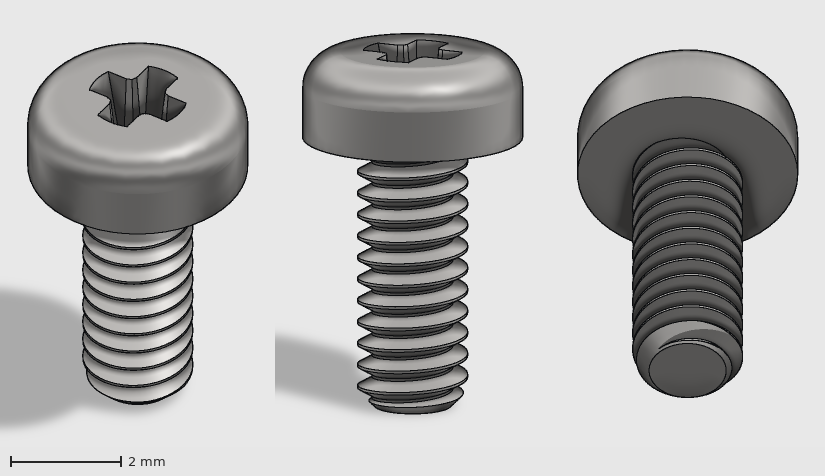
import cadquery as cq
import math

head_diameter = 4.0
head_height = 1.6
head_edge_radius = 0.68

shank_length = 5.0
thread_radius = 2.0 / 2
root_radius = 1.48 / 2
pitch = 0.4
thread_flat = pitch / 8
thread_start_angle = 90
spare_below_tip = 1.5
spare_above_seat = 2
tip_chamfer = 0.3
shank_embed = 0.1
envelope_clearance = 0.2

recess_depth = 1.35
recess_top_radius = 0.9
recess_floor_radius = 0.54
arm_top_width = 0.63
arm_floor_width = 0.38
corner_setback = 0.138
facet_angle = math.radians(22.5)


def make_head():
    """Cylindrical head with a generously rounded top edge."""
    head = cq.Workplane("XY").circle(head_diameter / 2).extrude(head_height)
    return head.faces(">Z").edges().fillet(head_edge_radius)


def helix_turn(radius, height):
    """One right-handed turn that starts on the XZ plane at the given radius and height."""
    return cq.Wire.makeHelix(pitch, pitch, radius, cq.Vector(0, 0, height)).Edges()[0]


def thread_profile(height):
    """Radius and height of the corners of one pitch, from one root flat up to the next."""
    flank_height = (pitch - 2 * thread_flat) / 2
    crest_start = height + thread_flat + flank_height
    return [
        (root_radius, height),
        (root_radius, height + thread_flat),
        (thread_radius, crest_start),
        (thread_radius, crest_start + thread_flat),
        (root_radius, height + pitch),
    ]


def thread_turn_faces(height):
    """Root, lower flank, crest and upper flank of one turn."""
    profile = thread_profile(height)
    edges = [helix_turn(radius, z) for radius, z in profile]
    return [cq.Face.makeRuledSurface(low, high) for low, high in zip(edges, edges[1:])]


def rod_end_faces(height):
    """Close one end of the rod: a spiral ramp and the flat step that joins its two ends."""
    axis_start = cq.Vector(0, 0, height)
    axis_end = cq.Vector(0, 0, height + pitch)
    axis = cq.Edge.makeLine(axis_start, axis_end)
    ramp = cq.Face.makeRuledSurface(helix_turn(root_radius, height), axis)
    corners = [cq.Vector(radius, 0, z) for radius, z in thread_profile(height)]
    step = cq.Face.makeFromWires(cq.Wire.makePolygon([axis_start, *corners, axis_end], close=True))
    return [ramp, step]


def make_thread_rod():
    """Threaded rod, longer than the shank at both ends, built from its helical faces."""
    turns = math.ceil(shank_length / pitch + spare_below_tip + spare_above_seat)
    bottom = -shank_length - spare_below_tip * pitch
    faces = rod_end_faces(bottom) + rod_end_faces(bottom + turns * pitch)
    for turn in range(turns):
        faces += thread_turn_faces(bottom + turn * pitch)
    rod = cq.Solid.makeSolid(cq.Shell.makeShell(faces))
    return cq.Workplane(obj=rod).rotate((0, 0, 0), (0, 0, 1), thread_start_angle)


def make_tip_envelope():
    """Space left by the tip chamfer: a cone opening upwards into a wider cylinder."""
    tip_radius = thread_radius - tip_chamfer
    outer_radius = thread_radius + envelope_clearance
    cone_top = -shank_length + outer_radius - tip_radius
    return (
        cq.Workplane("XZ")
        .moveTo(0, -shank_length)
        .lineTo(tip_radius, -shank_length)
        .lineTo(outer_radius, cone_top)
        .lineTo(outer_radius, shank_embed)
        .lineTo(0, shank_embed)
        .close()
        .revolve(360, (0, 0, 0), (0, 1, 0))
    )


def make_threaded_shank():
    """Threaded rod with its tip chamfered; the top reaches a little into the head."""
    return make_thread_rod().intersect(make_tip_envelope())


def cross_outline(half_width, facet_start):
    """Cross whose inner corners are broken by two facets; its arms overreach the recess."""
    arm_reach = head_diameter / 2
    slope = math.tan(facet_angle)
    facet_meeting = (half_width + facet_start * slope) / (1 + slope)
    quadrant = [
        (arm_reach, half_width),
        (facet_start, half_width),
        (facet_meeting, facet_meeting),
        (half_width, facet_start),
        (half_width, arm_reach),
    ]
    outline = []
    for _ in range(4):
        outline += quadrant
        quadrant = [(-y, x) for x, y in quadrant]
    return outline


def make_tapered_cross():
    """Cross whose arm sides and corner facets all move inwards alike towards the floor."""
    top_half = arm_top_width / 2
    floor_half = arm_floor_width / 2
    top_facet_start = top_half + corner_setback
    floor_facet_start = top_facet_start - (top_half - floor_half) * math.tan(facet_angle / 2)
    return (
        cq.Workplane("XY", origin=(0, 0, head_height))
        .polyline(cross_outline(top_half, top_facet_start))
        .close()
        .workplane(offset=-recess_depth)
        .polyline(cross_outline(floor_half, floor_facet_start))
        .close()
        .loft(ruled=True)
    )


def make_recess():
    """Tapered cross trimmed by a cone, so that the arm ends are conical."""
    cone = (
        cq.Workplane("XY", origin=(0, 0, head_height))
        .circle(recess_top_radius)
        .workplane(offset=-recess_depth)
        .circle(recess_floor_radius)
        .loft()
    )
    return make_tapered_cross().intersect(cone)


result = make_head().cut(make_recess()).union(make_threaded_shank())